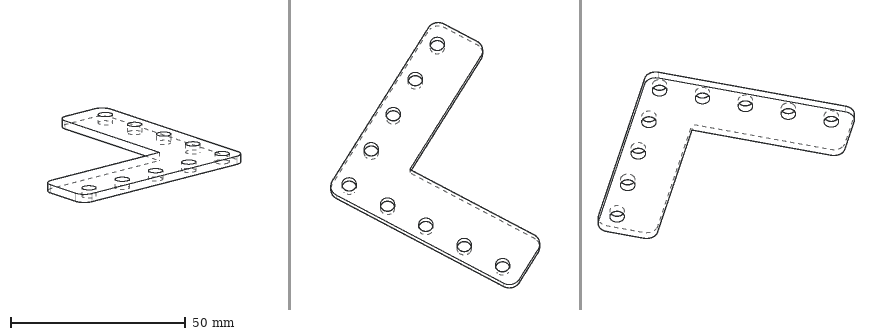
import cadquery as cq

side = 61.9
thickness = 2.5
arm_width = 17.5
corner_radius = 3.3
hole_diameter = 4.15
hole_pitch = 12.7
hole_edge_offset = 4.75
holes_per_arm = 5

half = side / 2
inner = half - arm_width
hole_line = half - hole_edge_offset


def make_plate():
    """L-shaped plate with its elbow at +X +Y; the inner corner stays sharp."""
    outline = [
        (-half, half),
        (half, half),
        (half, -half),
        (inner, -half),
        (inner, inner),
        (-half, inner),
    ]
    plate = cq.Workplane("XY").polyline(outline).close().extrude(thickness)
    outer_corners = [point for point in outline if point != (inner, inner)]
    for x, y in outer_corners:
        corner_edge = cq.selectors.NearestToPointSelector((x, y, thickness / 2))
        plate = plate.edges("|Z").edges(corner_edge).fillet(corner_radius)
    return plate


def hole_positions():
    """Evenly spaced holes along both outer edges, starting at the elbow."""
    along_x = [(hole_line - i * hole_pitch, hole_line) for i in range(holes_per_arm)]
    along_y = [(hole_line, hole_line - i * hole_pitch) for i in range(1, holes_per_arm)]
    return along_x + along_y


result = make_plate().faces(">Z").workplane(origin=(0, 0, 0)).pushPoints(hole_positions()).hole(hole_diameter)